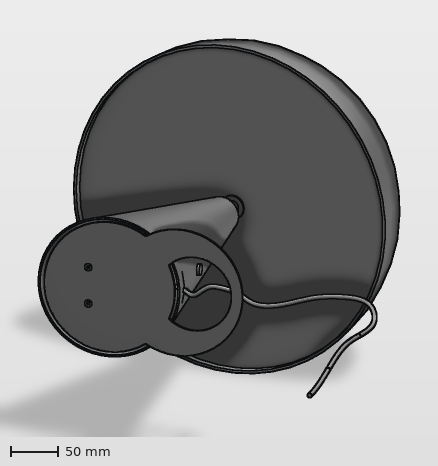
import cadquery as cq
import math


overall_length_x = 437.7
overall_length_y = 782.25

tilt = 8.4
dome_centre_height = 302.2
dome_centre_along_axis = dome_centre_height / math.cos(math.radians(tilt))

dome_radius = 180.0
dome_wall = 3.0
dome_inner_radius = dome_radius - dome_wall
diffuser_recess = 8.5
diffuser_thickness = 3.0

cone_half_angle = 11.3
cone_wall = 2.0
apex_above_dome_centre = 78.0
cone_top_gap = 20.6
cone_overrun = 40.0
cone_slope = math.tan(math.radians(cone_half_angle))
cone_apex = dome_centre_along_axis + apex_above_dome_centre
cone_top = dome_centre_along_axis - cone_top_gap

rod_radius = 7.5
collar_radius = 13.0
collar_thickness = 2.0
diffuser_face = dome_centre_along_axis + diffuser_recess

plate_thickness = 2.5
disc_radius = 71.5
disc_centre_x = -2.0
lug_radius = 69.5
lug_centre_x = 74.2
lug_hole_radius = 40.5
lug_hole_centre_x = 91.0

screw_radius = 4.0
socket_radius = 1.5
socket_depth = 1.0
screw_x = -25.0
screw_spacing = 40.0

knob_radius = 6.0
knob_height = 86.3
knob_inner_x = 62.0
knob_outer_x = 73.8

cable_radius = 2.5
dome_centre_x = dome_centre_height * math.tan(math.radians(tilt))
dome_left_x = dome_centre_x - dome_radius * math.cos(math.radians(tilt))
cable_end_x = dome_left_x + overall_length_x - cable_radius
cable_end_y = dome_centre_height + dome_radius - overall_length_y
cable_end_z = -5.0
cable_straight_end = 15.0
cable_points = [
    (64.0, 26.5, -2.0),
    (77.0, 17.0, -3.0),
    (90.0, 6.0, -2.5),
    (104.0, 5.4, 7.0),
    (121.0, 5.5, 7.5),
    (136.0, 9.0, 2.0),
    (152.0, 4.0, -5.0),
    (180.0, 0.0, -5.0),
    (222.0, 0.0, 7.0),
    (250.0, 0.0, 10.5),
    (280.0, -4.0, 8.5),
    (297.0, -30.0, 0.0),
    (300.0, -60.0, -2.5),
    (296.0, -120.0, 1.5),
    (296.5, -180.0, 1.0),
    (300.0, -240.0, -3.0),
    (cable_end_x, cable_end_y + cable_straight_end, cable_end_z),
    (cable_end_x, cable_end_y, cable_end_z),
]


def lean(local_body):
    """Tilt a body built around the Y axis onto the lamp axis."""
    return local_body.rotate((0, 0, 0), (0, 0, 1), -tilt)


def turned(radius, start, end):
    """Cylinder on the lamp axis between two distances from the origin."""
    profile = cq.Workplane("XY").moveTo(0, start).lineTo(-radius, start).lineTo(-radius, end)
    profile = profile.lineTo(0, end).close()
    return lean(profile.revolve(360, (0, 0, 0), (0, 1, 0)))


def plate_disc(radius, centre_x, centre_z=0.0):
    """Disc of the plate's thickness lying on the base plane."""
    plane = cq.Plane(origin=(centre_x, 0, centre_z), xDir=(1, 0, 0), normal=(0, 1, 0))
    return cq.Workplane(plane).circle(radius).extrude(plate_thickness)


def screw_hole(side):
    """Plate hole for the screw on the given side (-1 or 1) in Z."""
    return plate_disc(screw_radius, screw_x, side * screw_spacing / 2)


def screw(side):
    """Screw flush with the plate, with a round socket in its underside."""
    centre = (screw_x, 0, side * screw_spacing / 2)
    underside = screw_hole(side).faces("<Y").workplane(origin=centre)
    return underside.hole(2 * socket_radius, socket_depth)


def half_dome(radius):
    """Solid half ball above the rim plane."""
    rim = dome_centre_along_axis
    diagonal = radius * math.sqrt(0.5)
    profile = cq.Workplane("XY").moveTo(0, rim).lineTo(-radius, rim)
    profile = profile.threePointArc((-diagonal, rim + diagonal), (0, rim + radius)).close()
    return lean(profile.revolve(360, (0, 0, 0), (0, 1, 0)))


def solid_cone(apex, top):
    """Frustum on the lamp axis reaching below the base plane."""
    bottom = -cone_overrun
    profile = cq.Workplane("XY").moveTo(0, bottom).lineTo(-(apex - bottom) * cone_slope, bottom)
    profile = profile.lineTo(-(apex - top) * cone_slope, top).lineTo(0, top).close()
    return lean(profile.revolve(360, (0, 0, 0), (0, 1, 0)))


shade = half_dome(dome_radius).cut(half_dome(dome_inner_radius))
diffuser = half_dome(dome_inner_radius).intersect(
    turned(dome_radius, diffuser_face, diffuser_face + diffuser_thickness)
)

rod = turned(rod_radius, cone_top, diffuser_face)
collar = turned(collar_radius, diffuser_face - collar_thickness, diffuser_face).cut(rod)

screw_sides = (-1, 1)
screws = [screw(side).val() for side in screw_sides]
lug = plate_disc(lug_radius, lug_centre_x).cut(plate_disc(lug_hole_radius, lug_hole_centre_x))
base_plate = plate_disc(disc_radius, disc_centre_x).union(lug)
for side in screw_sides:
    base_plate = base_plate.cut(screw_hole(side))

knob_plane = cq.Plane(origin=(knob_inner_x, knob_height, 0), xDir=(0, 1, 0), normal=(1, 0, 0))
knob = cq.Workplane(knob_plane).circle(knob_radius).extrude(knob_outer_x - knob_inner_x)

cable_path = cq.Workplane("XY").spline(cable_points)
cable_start = cq.Plane(origin=cable_points[0], normal=cable_path.val().tangentAt(0).toTuple())
cable = cq.Workplane(cable_start).circle(cable_radius).sweep(cable_path, isFrenet=True)

inner_apex = cone_apex - cone_wall / math.sin(math.radians(cone_half_angle))
trim_size = 4 * disc_radius
below_base = cq.Workplane("XY").box(trim_size, trim_size, trim_size).translate((0, -trim_size / 2, 0))
cone = solid_cone(cone_apex, cone_top).cut(solid_cone(inner_apex, cone_top - cone_wall))
cone = cone.cut(below_base).cut(base_plate).cut(knob).cut(cable)

result = cq.Compound.makeCompound([
    shade.val(),
    diffuser.val(),
    collar.val(),
    rod.val(),
    cone.val(),
    base_plate.val(),
    *screws,
    knob.val(),
    cable.val(),
])